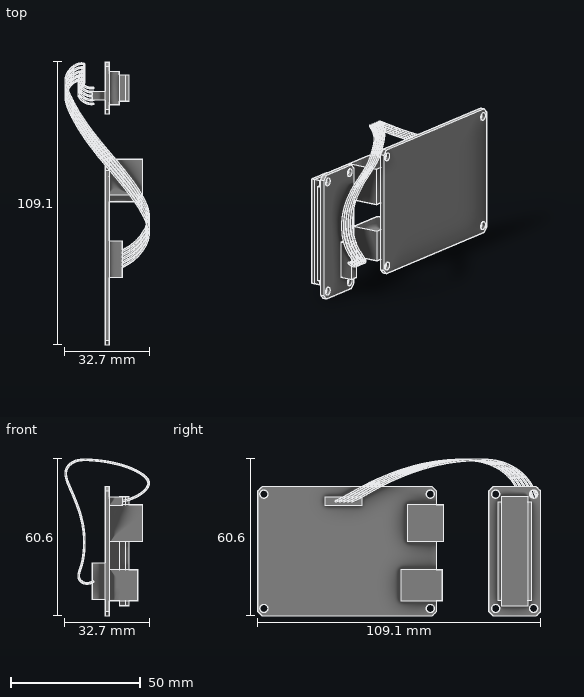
import cadquery as cq

BOARD_THICKNESS = 1.6
BOARD_HEIGHT = 50.0
CORNER_CUT = 1.7
HOLE_DIAMETER = 3.1
HOLE_INSET_Z = 3.0

TOTAL_LENGTH = 109.1
MAIN_BOARD_LENGTH = 69.0
MAIN_HOLE_INSET_Y = 2.4
DISPLAY_BOARD_LENGTH = 20.1
DISPLAY_HOLE_INSET_Y = 2.7
DISPLAY_BOARD_Y = TOTAL_LENGTH - DISPLAY_BOARD_LENGTH

CONNECTOR_LENGTH = 14.2
CONNECTOR_WIDTH = 3.4
CONNECTOR_HEIGHT = 5.0
MAIN_CONNECTOR_Y = 26.0
MAIN_CONNECTOR_Z = 42.6
DISPLAY_CONNECTOR_Y = 94.4
DISPLAY_CONNECTOR_Z = 6.3

UPPER_SOCKET_SIZE = (12.9, 13.9, 14.3)
UPPER_SOCKET_OVERHANG = 2.7
UPPER_SOCKET_Z = 28.7
LOWER_SOCKET_SIZE = (11.0, 16.0, 12.0)
LOWER_SOCKET_OVERHANG = 2.3
LOWER_SOCKET_Z = 5.9

SCREEN_BASE_SIZE = (3.9, 12.9, 38.0)
SCREEN_LENGTH = 42.1
SCREEN_WIDTH = 10.3
SCREEN_BASE_X = BOARD_THICKNESS
SCREEN_FRAME_SIZE = (2.3, SCREEN_WIDTH, SCREEN_LENGTH)
SCREEN_FRAME_X = SCREEN_BASE_X + SCREEN_BASE_SIZE[0]
SCREEN_GLASS_SIZE = (1.4, SCREEN_WIDTH, SCREEN_LENGTH)
SCREEN_GLASS_X = SCREEN_FRAME_X + SCREEN_FRAME_SIZE[0]
SCREEN_CENTRE_Y = DISPLAY_BOARD_Y + DISPLAY_BOARD_LENGTH / 2
SCREEN_CENTRE_Z = BOARD_HEIGHT / 2

WIRE_COUNT = 5
WIRE_PITCH = 1.5
WIRE_DIAMETER = 0.7
WIRE_PIECES = 13
WIRE_EMBED = 0.5
WIRE_START = (
    BOARD_THICKNESS + CONNECTOR_HEIGHT - WIRE_EMBED,
    MAIN_CONNECTOR_Y + CONNECTOR_LENGTH / 2,
    MAIN_CONNECTOR_Z + CONNECTOR_WIDTH / 2,
)
WIRE_END = (
    WIRE_EMBED - CONNECTOR_HEIGHT,
    DISPLAY_CONNECTOR_Y + CONNECTOR_WIDTH / 2,
    DISPLAY_CONNECTOR_Z + CONNECTOR_LENGTH / 2,
)
WIRE_COURSE = [
    WIRE_START,
    (13.4, 38.4, 46.9),
    (16.8, 46.0, 51.1),
    (13.4, 55.7, 55.2),
    (4.5, 67.7, 58.7),
    (-6.3, 81.0, 60.2),
    (-13.0, 91.9, 58.9),
    (-15.2, 99.0, 54.8),
    (-13.2, 103.3, 48.8),
    (-8.5, 105.4, 34.8),
    (-8.2, 104.0, 24.4),
    (-9.3, 101.9, 19.0),
    (-10.0, 99.1, 14.6),
    (-7.7, 96.7, 12.7),
    WIRE_END,
]


def block(size, corner):
    """Plain box with its lowest corner at the given point."""
    return cq.Workplane("XY").box(*size, centered=False).translate(corner)


def board(length, start_y, hole_inset_y):
    """Upright board with four cut corners and a mounting hole in each corner."""
    plate = block((BOARD_THICKNESS, length, BOARD_HEIGHT), (0, start_y, 0)).edges("|X").chamfer(CORNER_CUT)
    holes = (
        cq.Workplane("YZ", origin=(0, start_y + length / 2, BOARD_HEIGHT / 2))
        .rect(length - 2 * hole_inset_y, BOARD_HEIGHT - 2 * HOLE_INSET_Z, forConstruction=True)
        .vertices()
        .circle(HOLE_DIAMETER / 2)
        .extrude(BOARD_THICKNESS)
    )
    return plate.cut(holes)


def socket(size, overhang, bottom_z):
    """Block on the +X face of the main board, overhanging its +Y edge."""
    return block(size, (BOARD_THICKNESS, MAIN_BOARD_LENGTH + overhang - size[1], bottom_z))


def make_wires():
    """Equal wires side by side along Y, centred on the wire course."""
    course = cq.Edge.makeSpline([cq.Vector(*point) for point in WIRE_COURSE])
    joints = [course.paramAt(i / WIRE_PIECES) for i in range(WIRE_PIECES + 1)]
    pieces = [course.trim(start, end) for start, end in zip(joints, joints[1:])]
    path = cq.Workplane(cq.Wire.assembleEdges(pieces))
    start_plane = cq.Plane(origin=WIRE_START, normal=course.tangentAt(0).toTuple())
    middle_wire = cq.Workplane(start_plane).circle(WIRE_DIAMETER / 2).sweep(path)
    offsets = [(i - (WIRE_COUNT - 1) / 2) * WIRE_PITCH for i in range(WIRE_COUNT)]
    return [middle_wire.translate((0, offset, 0)) for offset in offsets]


def make_main_board():
    """Main board with its cable connector and two sockets."""
    connector = block(
        (CONNECTOR_HEIGHT, CONNECTOR_LENGTH, CONNECTOR_WIDTH),
        (BOARD_THICKNESS, MAIN_CONNECTOR_Y, MAIN_CONNECTOR_Z),
    )
    main_board = board(MAIN_BOARD_LENGTH, 0, MAIN_HOLE_INSET_Y)
    main_board = main_board.union(connector)
    main_board = main_board.union(socket(UPPER_SOCKET_SIZE, UPPER_SOCKET_OVERHANG, UPPER_SOCKET_Z))
    return main_board.union(socket(LOWER_SOCKET_SIZE, LOWER_SOCKET_OVERHANG, LOWER_SOCKET_Z))


def screen_block(size, bottom_x):
    """Block of the display module, centred on the display board."""
    return block(size, (bottom_x, SCREEN_CENTRE_Y - size[1] / 2, SCREEN_CENTRE_Z - size[2] / 2))


def make_display_board():
    """Display board with its cable connector, screen base and screen frame."""
    connector = block(
        (CONNECTOR_HEIGHT, CONNECTOR_WIDTH, CONNECTOR_LENGTH),
        (-CONNECTOR_HEIGHT, DISPLAY_CONNECTOR_Y, DISPLAY_CONNECTOR_Z),
    )
    display_board = board(DISPLAY_BOARD_LENGTH, DISPLAY_BOARD_Y, DISPLAY_HOLE_INSET_Y)
    display_board = display_board.union(connector)
    display_board = display_board.union(screen_block(SCREEN_BASE_SIZE, SCREEN_BASE_X))
    return display_board.union(screen_block(SCREEN_FRAME_SIZE, SCREEN_FRAME_X))


def make_wired_boards():
    """Both boards joined into one solid by the wires."""
    main_board = make_main_board().val()
    return cq.Workplane(main_board.fuse(make_display_board().val(), *[wire.val() for wire in make_wires()]))


def make_screen_glass():
    """Glass plate lying flush on the screen frame."""
    return screen_block(SCREEN_GLASS_SIZE, SCREEN_GLASS_X)


wired_boards = make_wired_boards()
screen_glass = make_screen_glass()

result = cq.Compound.makeCompound([wired_boards.solids().val(), screen_glass.val()])